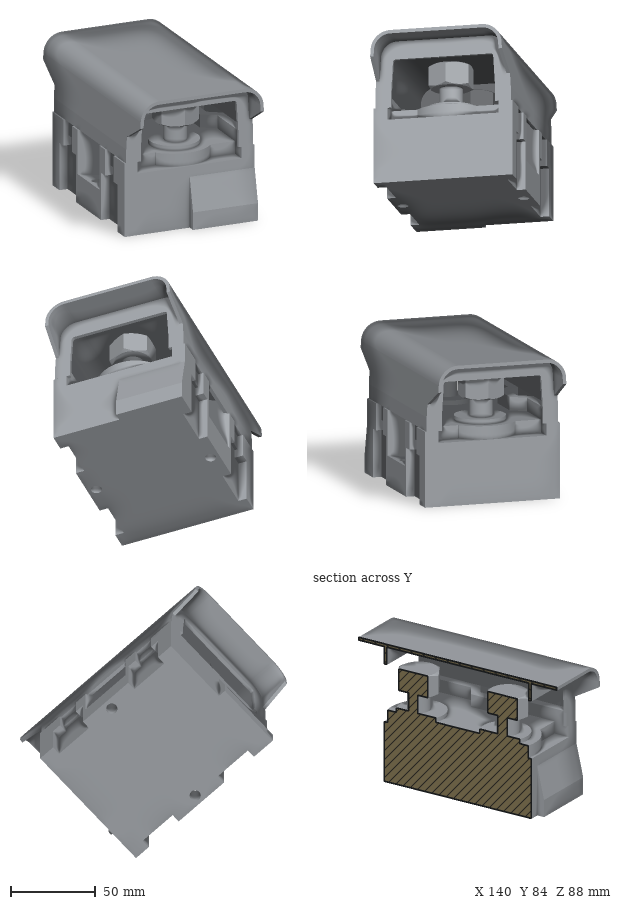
import cadquery as cq
import math


base_length = 104.2
base_width = 84.0
base_height = 45.6
channel_width = 67.2
channel_floor = 38.4

lip_top = 54.3

recess_center = 30.0
recess_depth = 5.3
recess_width = 23.8
recess_height = 29.4
neck_width = 12.6
neck_ledge_depth = 3.5
neck_ledge_height = 35.4

pocket_floor = 18.2
pocket_mouth_width = 31.6
pocket_back_width = 16.2
pocket_depth = 11.5
pocket_wall = 5.6
mounting_hole_diameter = 6.6
mounting_hole_inset = 5.5

wedge_reach = 4.8
wedge_heel_height = 10.9
wedge_height = 31.6
wedge_length = base_width / 2

bar_length = 84.3
bar_top = 46.2
tongue_center = 27.0
tongue_radius = 23.5
tongue_width = 35.3

washer_center = 29.5
washer_diameter = 30.8
washer_thickness = 2.8
bolt_center = 31.5
shank_diameter = 13.9
head_bottom = 60.3
head_top = 74.3
head_across_flats = 24.1
head_rim_diameter = 23.2
head_chamfer_angle = 30.0

cover_length = 140.0
cover_top = 88.0
cover_width = 82.0
cover_wall = 2.1
cover_corner_radius = 12.0
cover_draft = 3.4
overhang_outer_bottom = 72.5
overhang_inner_bottom = 62.2
frame_thickness = 2.1
opening_width = 63.0
opening_top = 74.9
opening_corner_radius = 1.7


def block(x_min, x_max, y_min, y_max, z_min, z_max):
    size = (x_max - x_min, y_max - y_min, z_max - z_min)
    return cq.Workplane("XY").box(*size, centered=False).translate((x_min, y_min, z_min))


def both_sides(shape):
    """The shape together with its mirror image across the XZ plane."""
    return shape.union(shape.mirror("XZ"))



def base_block():
    body = block(-base_length / 2, base_length / 2, -base_width / 2, base_width / 2, 0, base_height)
    channel = block(
        -base_length / 2, base_length / 2, -channel_width / 2, channel_width / 2, channel_floor, base_height
    )
    return body.cut(channel)


def lip():
    """Rail on the front wall, fitted between the end frames and against the skin of the cover."""
    half_length = base_length / 2 - frame_thickness
    y_outer = -(cover_width / 2 - cover_wall)
    return block(-half_length, half_length, y_outer, -channel_width / 2, base_height, lip_top)


def side_recess(x_center):
    """Wide recess at the bottom with a narrower neck that gets shallower near the top."""
    y_face = -base_width / 2

    def slot(width, depth, z_min, z_max):
        return block(x_center - width / 2, x_center + width / 2, y_face, y_face + depth, z_min, z_max)

    wide = slot(recess_width, recess_depth, 0, recess_height)
    neck = slot(neck_width, recess_depth, recess_height, neck_ledge_height)
    ledge = slot(neck_width, neck_ledge_depth, neck_ledge_height, base_height)
    return wide.union(neck).union(ledge)


def trapezoid(mouth_half, back_half, y_back, z_min, z_max):
    """Prism that narrows from the front face of the base inward to y_back."""
    y_face = -base_width / 2
    corners = [(-mouth_half, y_face), (mouth_half, y_face), (back_half, y_back), (-back_half, y_back)]
    return cq.Workplane("XY").workplane(offset=z_min).polyline(corners).close().extrude(z_max - z_min)


def pocket():
    y_back = -base_width / 2 + pocket_depth
    return trapezoid(pocket_mouth_width / 2, pocket_back_width / 2, y_back, pocket_floor, lip_top)


def pocket_housing():
    """Wall of even thickness around the pocket, from the channel floor to the top of the lip."""
    taper = (pocket_mouth_width - pocket_back_width) / 2 / pocket_depth
    side_shift = pocket_wall * math.hypot(1, taper)
    mouth_half = pocket_mouth_width / 2 + side_shift
    back_half = pocket_back_width / 2 + side_shift - taper * pocket_wall
    y_back = -base_width / 2 + pocket_depth + pocket_wall
    housing = trapezoid(mouth_half, back_half, y_back, channel_floor, lip_top)
    inside = block(-mouth_half, mouth_half, -channel_width / 2, y_back, channel_floor, lip_top)
    return housing.intersect(inside)


def mounting_hole():
    y_center = -base_width / 2 + mounting_hole_inset
    return cq.Workplane("XY").center(0, y_center).circle(mounting_hole_diameter / 2).extrude(pocket_floor)


def wedge():
    x_face = base_length / 2
    corners = [
        (x_face, 0),
        (x_face + wedge_reach, 0),
        (x_face + wedge_reach, wedge_heel_height),
        (x_face, wedge_height),
    ]
    profile = cq.Workplane("XZ", origin=(0, base_width / 2, 0)).polyline(corners).close()
    return profile.extrude(wedge_length)


def terminal_bar():
    """Bar as wide as the channel with a round tongue at each end."""
    bar_height = bar_top - channel_floor
    bar = block(
        -bar_length / 2, bar_length / 2, -channel_width / 2, channel_width / 2, channel_floor, bar_top
    )
    discs = (
        cq.Workplane("XY").workplane(offset=channel_floor)
        .pushPoints([(-tongue_center, 0), (tongue_center, 0)])
        .circle(tongue_radius).extrude(bar_height)
    )
    tongue_reach = tongue_center + tongue_radius
    strip = block(
        -tongue_reach, tongue_reach, -tongue_width / 2, tongue_width / 2, channel_floor, bar_top
    )
    return bar.union(discs.intersect(strip))


def bolt_head():
    """Hexagon with corners along X, chamfered at both ends by cones."""
    head_height = head_top - head_bottom
    corner_radius = head_across_flats / math.sqrt(3)
    rim_radius = head_rim_diameter / 2
    chamfer_height = (corner_radius - rim_radius) * math.tan(math.radians(head_chamfer_angle))
    hexagon = cq.Workplane("XY").polygon(6, 2 * corner_radius).extrude(head_height)
    envelope = (
        cq.Workplane("XZ")
        .polyline([
            (0, 0),
            (rim_radius, 0),
            (corner_radius, chamfer_height),
            (corner_radius, head_height - chamfer_height),
            (rim_radius, head_height),
            (0, head_height),
        ])
        .close().revolve(360, (0, 0, 0), (0, 1, 0))
    )
    return hexagon.intersect(envelope).translate((0, 0, head_bottom))


def washer():
    disc = cq.Workplane("XY", origin=(washer_center, 0, bar_top)).circle(washer_diameter / 2)
    return disc.extrude(washer_thickness)


def bolt():
    shank_circle = cq.Workplane("XY", origin=(0, 0, bar_top)).circle(shank_diameter / 2)
    shank = shank_circle.extrude(head_bottom - bar_top)
    return shank.union(bolt_head()).translate((bolt_center, 0, 0))


def make_base():
    body = base_block().union(both_sides(lip())).union(both_sides(pocket_housing()))
    for x_center in (-recess_center, recess_center):
        body = body.cut(both_sides(side_recess(x_center)))
    body = body.union(terminal_bar())
    body = body.cut(both_sides(pocket())).cut(both_sides(mounting_hole()))
    body = body.union(wedge())
    terminal_screw = washer().union(bolt())
    return body.union(terminal_screw).union(terminal_screw.mirror("YZ"))



def arch(half_width, top, corner_radius, length):
    """Arch along X: upright sides up to the lip top, then drafted sides and a rounded flat top."""
    top_half = half_width - (top - lip_top) * math.tan(math.radians(cover_draft))
    corners = [
        (-half_width, base_height),
        (half_width, base_height),
        (half_width, lip_top),
        (top_half, top),
        (-top_half, top),
        (-half_width, lip_top),
    ]
    solid = cq.Workplane("YZ", origin=(-length / 2, 0, 0)).polyline(corners).close().extrude(length)
    top_edges = solid.faces(">Z").edges("|X")
    return solid.newObject(top_edges.vals()).fillet(corner_radius)


def side_outline():
    """Block narrow at the base that flares along X to the overhanging ends, to trim the skin."""
    half_base = base_length / 2
    half_cover = cover_length / 2
    right = [
        (half_base, base_height),
        (half_base, overhang_inner_bottom),
        (half_cover, overhang_outer_bottom),
        (half_cover, cover_top),
    ]
    left = [(-x, z) for x, z in reversed(right)]
    return (
        cq.Workplane("XZ").polyline(right + left).close()
        .extrude(cover_width / 2, both=True)
    )


def make_cover():
    skin_half = cover_width / 2 - cover_wall
    skin_top = cover_top - cover_wall
    skin_radius = cover_corner_radius - cover_wall
    outer = arch(cover_width / 2, cover_top, cover_corner_radius, cover_length)
    skin = outer.cut(arch(skin_half, skin_top, skin_radius, cover_length))
    frames = (
        arch(skin_half, skin_top, skin_radius, base_length)
        .cut(arch(skin_half, skin_top, skin_radius, base_length - 2 * frame_thickness))
        .cut(arch(opening_width / 2, opening_top, opening_corner_radius, base_length))
    )
    return skin.intersect(side_outline()).union(frames)


base = make_base()
cover = make_cover()
result = cq.Compound.makeCompound([base.solids().val(), cover.solids().val()])